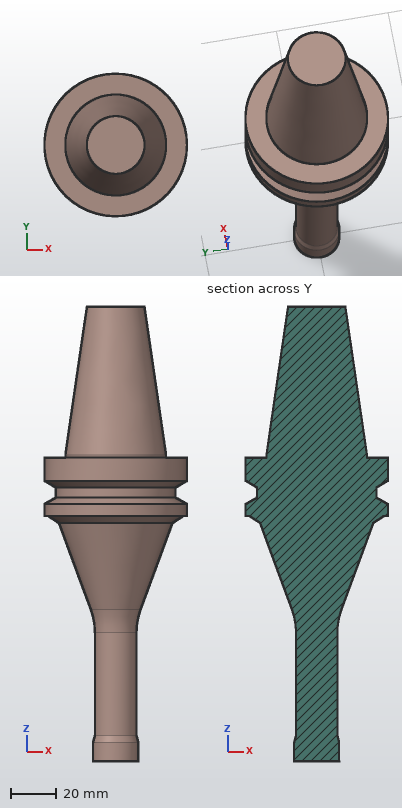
import cadquery as cq
import math

total_length = 200.5
gauge_z = 135.0
flange_top_z = 133.9
groove_upper_z = 123.6
groove_floor_top_z = 120.6
groove_floor_bottom_z = 116.2
groove_lower_z = 113.5
flange_bottom_z = 108.0
cone_top_z = 105.0
blend_bottom_z = 56.7
shank_bottom_z = 11.5
collar_top_z = 8.5

gauge_radius = 44.5 / 2
flange_radius = 63.0 / 2
groove_radius = 53.0 / 2
step_radius = 29.7
cone_radius = 25.0
shank_radius = 18.5 / 2
collar_radius = 20.0 / 2

diameter_taper = 7 / 24
taper_end_radius = gauge_radius - (total_length - gauge_z) * diameter_taper / 2

blend_radius = 30.0
cone_half_angle = math.radians(20)


def blend_point(angle):
    """Point (radius, height) on the blend, turned by angle from the shank direction."""
    return (
        shank_radius + blend_radius * (1 - math.cos(angle)),
        blend_bottom_z + blend_radius * math.sin(angle),
    )


profile = (
    cq.Workplane("XZ")
    .moveTo(0, 0)
    .lineTo(collar_radius, 0)
    .lineTo(collar_radius, collar_top_z)
    .lineTo(shank_radius, shank_bottom_z)
    .lineTo(shank_radius, blend_bottom_z)
    .threePointArc(blend_point(cone_half_angle / 2), blend_point(cone_half_angle))
    .lineTo(cone_radius, cone_top_z)
    .lineTo(step_radius, flange_bottom_z)
    .lineTo(flange_radius, flange_bottom_z)
    .lineTo(flange_radius, groove_lower_z)
    .lineTo(groove_radius, groove_floor_bottom_z)
    .lineTo(groove_radius, groove_floor_top_z)
    .lineTo(flange_radius, groove_upper_z)
    .lineTo(flange_radius, flange_top_z)
    .lineTo(gauge_radius, flange_top_z)
    .lineTo(gauge_radius, gauge_z)
    .lineTo(taper_end_radius, total_length)
    .lineTo(0, total_length)
    .close()
)

result = profile.revolve(360, (0, 0, 0), (0, 1, 0))